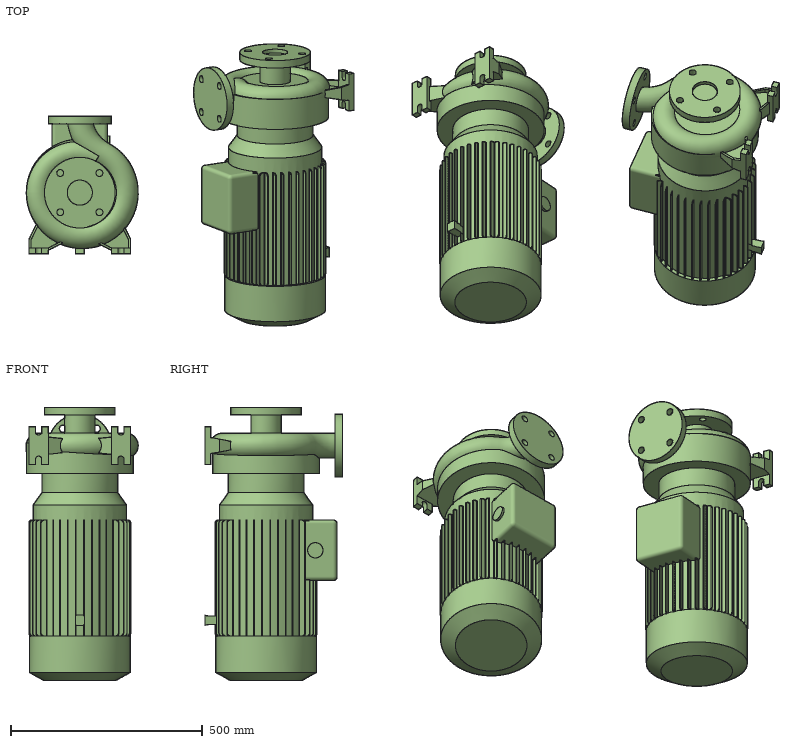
import cadquery as cq
import math


fan_end_radius = 93.5
cowl_radius = 132.0
cowl_bottom = 21.5
cowl_top = 116.5
core_radius = 122.0
fin_top = 420.0
cone_bottom = 459.0
cone_top = 491.0
lantern_radius = 99.0

fin_tip_radius = 133.5
fin_thickness = 2.0
fin_end_rounding = 8.0
fin_offsets = [11.0, 31.5, 51.5, 69.0, 86.5]

peg_width = 23.5
peg_height = 23.0
peg_head_height = 26.5
peg_head_length = 10.0
peg_level = 158.0

box_width = 146.0
box_height = 158.5
box_face = 185.5
box_rounding = 10.0
gland_radius = 20.0
gland_length = 6.0
gland_y = 128.5

casing_radius = 140.0
casing_bottom = 540.5
casing_top = 621.0
volute_level = 614.0
tube_radius = 33.0
main_coil_center = 6.5
main_coil_radius = 113.5
tail_coil_radius = 101.5
tail_end_angle = 60
cover_radius = 100.0
cover_top = 636.0

flange_thickness = 20.0
bolt_hole_diameter = 18.0
bolt_count = 4
first_bolt_angle = 45
suction_face = 714.0
suction_flange_diameter = 185.0
suction_bolt_circle = 145.0
suction_neck_radius = 40.0
suction_bore_radius = 33.0
suction_bore_depth = 10.0
discharge_face = 200.0
discharge_flange_diameter = 165.0
discharge_bolt_circle = 125.0

foot_face = 160.0
foot_thickness = 16.0
foot_width = 51.0
foot_height = 99.0
foot_spacing = 215.0
foot_slot_width = 16.0
foot_slot_depth = 22.0
web_outer_height = 45.0
web_inner_height = 18.5
web_root_y = -151.0
web_bend_y = -121.5
web_toe_y = -132.0
web_inner_y = -82.0
web_outer_x = 113.5
web_inner_x = 46.0
web_wall = 6.0
web_floor_thickness = 10.0


def cylinder(radius, bottom, top):
    return cq.Workplane("XY").workplane(offset=bottom).circle(radius).extrude(top - bottom)


def motor_body():
    """Turned body from the fan cowl up to the lantern under the casing."""
    profile = [
        (0, 0),
        (fan_end_radius, 0),
        (cowl_radius, cowl_bottom),
        (cowl_radius, cowl_top),
        (core_radius, cowl_top),
        (core_radius, cone_bottom),
        (lantern_radius, cone_top),
        (lantern_radius, casing_bottom),
        (0, casing_bottom),
    ]
    return cq.Workplane("XZ").polyline(profile).close().revolve(360, (0, 0, 0), (0, 1, 0))


def cooling_fins():
    """Four groups of parallel fins, each clipped to a round-ended envelope."""
    fin_length = fin_top - cowl_top
    blade_root = fin_offsets[-1]
    blade_depth = fin_tip_radius - blade_root
    blades = cq.Workplane("XY")
    for side in range(4):
        for offset in fin_offsets:
            for sign in (1, -1):
                blade = cq.Workplane("XY").box(
                    blade_depth, fin_thickness, fin_length, centered=(False, True, False)
                )
                blade = blade.translate((blade_root, sign * offset, cowl_top))
                blades = blades.add(blade.rotate((0, 0, 0), (0, 0, 1), 90 * side))
    envelope = cylinder(fin_tip_radius, cowl_top, fin_top).edges().fillet(fin_end_rounding)
    return blades.combine().intersect(envelope)


def support_peg():
    """Small foot under the motor, flared at its free end."""
    head_y = -foot_face + peg_head_length
    profile = [
        (-core_radius, peg_height / 2),
        (head_y, peg_height / 2),
        (-foot_face, peg_head_height / 2),
        (-foot_face, -peg_head_height / 2),
        (head_y, -peg_height / 2),
        (-core_radius, -peg_height / 2),
    ]
    peg = cq.Workplane("YZ").polyline(profile).close().extrude(peg_width / 2, both=True)
    return peg.translate((0, 0, peg_level))


def terminal_box():
    """Rounded box on the +Y side with a cable gland on its +X wall."""
    bottom = fin_top - box_height
    box = cq.Workplane("XY").box(box_width, box_face, box_height, centered=(True, False, False))
    box = box.translate((0, 0, bottom)).edges(">Y or |Y").fillet(box_rounding)
    gland = cq.Workplane("YZ").circle(gland_radius).extrude(box_width / 2 + gland_length)
    return box.union(gland.translate((0, gland_y, bottom + box_height / 2)))


def arc_point(center, radius, angle):
    return (center[0] + radius * math.cos(angle), center[1] + radius * math.sin(angle))


def tube(start, middle, end, start_plane):
    """Round tube along a circular arc lying in the volute plane."""
    path = cq.Workplane("XY").workplane(offset=volute_level).moveTo(*start).threePointArc(middle, end)
    return cq.Workplane(start_plane).circle(tube_radius).sweep(path)


def volute():
    """Coil that opens outward from the tail, then bends back into the discharge."""
    bend_radius = (discharge_face**2 + main_coil_center**2 - main_coil_radius**2) / (
        2 * (main_coil_radius + main_coil_center)
    )
    turn = math.asin(discharge_face / (main_coil_radius + bend_radius))
    coil_center = (main_coil_center, 0)
    bend_center = arc_point(coil_center, main_coil_radius + bend_radius, turn)
    coil_start = arc_point(coil_center, main_coil_radius, math.pi)
    tail_center = (coil_start[0] + tail_coil_radius, 0)
    tail_end = math.radians(tail_end_angle)

    level_start = cq.Plane((*coil_start, volute_level), (1, 0, 0), (0, -1, 0))
    main_coil = tube(
        coil_start,
        arc_point(coil_center, main_coil_radius, (turn - math.pi) / 2),
        arc_point(coil_center, main_coil_radius, turn),
        level_start,
    )
    tail_coil = tube(
        coil_start,
        arc_point(tail_center, tail_coil_radius, (math.pi + tail_end) / 2),
        arc_point(tail_center, tail_coil_radius, tail_end),
        level_start,
    )
    bend = tube(
        (0, discharge_face),
        arc_point(bend_center, bend_radius, math.pi + turn / 2),
        arc_point(bend_center, bend_radius, math.pi + turn),
        cq.Plane((0, discharge_face, volute_level), (1, 0, 0), (0, -1, 0)),
    )
    return main_coil.union(tail_coil).union(bend)


def flange(diameter, bolt_circle):
    """Flange with its face on the XY plane, thickness below it, and a ring of bolt holes."""
    disc = cq.Workplane("XY").circle(diameter / 2).extrude(-flange_thickness)
    holes = (
        cq.Workplane("XY")
        .polarArray(bolt_circle / 2, first_bolt_angle, 360, bolt_count)
        .circle(bolt_hole_diameter / 2)
        .extrude(-flange_thickness)
    )
    return disc.cut(holes)


def suction():
    neck = cylinder(suction_neck_radius, cover_top, suction_face - flange_thickness)
    ring = flange(suction_flange_diameter, suction_bolt_circle).translate((0, 0, suction_face))
    bore = cylinder(suction_bore_radius, suction_face - suction_bore_depth, suction_face)
    return ring.union(neck).cut(bore)


def discharge_flange():
    ring = flange(discharge_flange_diameter, discharge_bolt_circle)
    return ring.rotate((0, 0, 0), (1, 0, 0), -90).translate((0, discharge_face, volute_level))


def foot():
    """Slotted foot plate on the +X side, tied to the casing by a tapered web hollowed from above."""
    center_x = foot_spacing / 2
    plate = cq.Workplane("XY").box(foot_width, foot_thickness, foot_height)
    straight = foot_slot_depth - foot_slot_width / 2
    slot = (
        cq.Workplane("XZ")
        .slot2D(2 * straight + foot_slot_width, foot_slot_width, 90)
        .extrude(foot_thickness, both=True)
    )
    for end in (1, -1):
        plate = plate.cut(slot.translate((0, 0, end * foot_height / 2)))
    plate = plate.translate((center_x, -foot_face + foot_thickness / 2, volute_level))

    outline = [
        (center_x + foot_width / 2, web_root_y),
        (center_x + foot_width / 2, web_bend_y),
        (web_outer_x, web_inner_y),
        (web_inner_x, web_inner_y),
        (web_inner_x, web_toe_y),
        (center_x - foot_width / 2, web_root_y),
    ]
    web = cq.Workplane("XY").polyline(outline).close().extrude(web_outer_height / 2, both=True)
    pocket = cq.Workplane("XY").polyline(outline).close().offset2D(-web_wall).extrude(web_outer_height)
    web = web.cut(pocket.translate((0, 0, web_floor_thickness / 2)))
    side = [
        (web_root_y, web_outer_height / 2),
        (web_inner_y, web_inner_height / 2),
        (web_inner_y, -web_inner_height / 2),
        (web_root_y, -web_outer_height / 2),
    ]
    wedge = cq.Workplane("YZ").polyline(side).close().extrude(casing_radius)
    return plate.union(web.intersect(wedge).translate((0, 0, volute_level)))


casing = cylinder(casing_radius, casing_bottom, casing_top)
casing = casing.union(cylinder(cover_radius, casing_top, cover_top))

right_foot = foot()
left_foot = right_foot.mirror("YZ")

result = motor_body()
for component in (
    cooling_fins(),
    support_peg(),
    terminal_box(),
    casing,
    volute(),
    suction(),
    discharge_flange(),
    right_foot,
    left_foot,
):
    result = result.union(component)